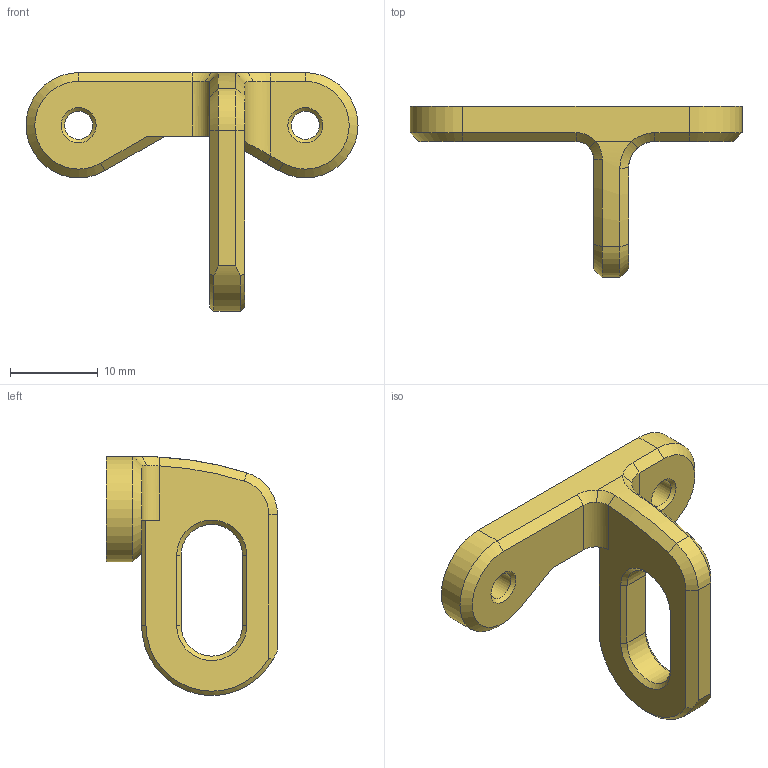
import cadquery as cq
import math


plate_thickness = 4.0
lobe_radius = 6.0
hole_spacing = 25.85
hole_diameter = 3.2
hole_chamfer = 0.4
slope_angle = math.radians(30)

arm_thickness = 4.0
arm_left = 2.0
arm_reach = 15.5
crown_radius = 40.0
nose_radius = 5.0

slot_radius = 3.5
slot_straight = 8.0
foot_radius = 8.0
foot_center_z = -19.24

left_fillet = 2.0
right_fillet = 3.0
root_reach = 4.0
outer_chamfer = 1.0
small_chamfer = 0.5

clearance = 1.0

hole_x = hole_spacing / 2
hole_z = -lobe_radius
arm_right = arm_left + arm_thickness
plate_front = -plate_thickness
arm_front = plate_front - arm_reach
root_front = plate_front - root_reach
slot_y = plate_front - foot_radius
slot_top_z = foot_center_z + slot_straight
underside_z = slot_top_z + slot_radius + small_chamfer
foot_bottom_z = foot_center_z - foot_radius

tangent_x = hole_x - lobe_radius * math.sin(slope_angle)
tangent_z = hole_z - lobe_radius * math.cos(slope_angle)
slope_end_x = tangent_x - (underside_z - tangent_z) / math.tan(slope_angle)


def circle_point(center, radius, angle):
    """Point on a circle at the given angle from its sketch's horizontal axis."""
    return (center[0] + radius * math.cos(angle), center[1] + radius * math.sin(angle))


def nearest_edge(body, point):
    """The edge of the body closest to the given point."""
    return body.edges(cq.NearestToPointSelector(point))


def extrude_plate_outline(depth):
    """Two round lobes on a bar whose lower edge slopes up to a flat underside in the middle."""
    lobe_mid_angle = -slope_angle / 2
    lobe_mid_x, lobe_mid_z = circle_point((hole_x, hole_z), lobe_radius, lobe_mid_angle)
    return (
        cq.Workplane("XZ")
        .moveTo(-hole_x, 0)
        .lineTo(hole_x, 0)
        .threePointArc((lobe_mid_x, lobe_mid_z), (tangent_x, tangent_z))
        .lineTo(slope_end_x, underside_z)
        .lineTo(-slope_end_x, underside_z)
        .lineTo(-tangent_x, tangent_z)
        .threePointArc((-lobe_mid_x, lobe_mid_z), (-hole_x, 0))
        .close()
        .extrude(depth)
    )


def crown_z(y):
    """Height of the arm's curved top, which leaves the plate level."""
    run = plate_front - y
    return math.sqrt(crown_radius**2 - run**2) - crown_radius


def make_arm():
    """Arm with a curved crown, rounded nose, straight front and round foot."""
    nose_y = arm_front + nose_radius
    center_gap = crown_radius - nose_radius
    nose_tilt = math.asin((plate_front - nose_y) / center_gap)
    nose_z = center_gap * math.cos(nose_tilt) - crown_radius
    nose_start_angle = math.pi / 2 + nose_tilt
    nose_mid_angle = (nose_start_angle + math.pi) / 2
    nose_start = circle_point((nose_y, nose_z), nose_radius, nose_start_angle)
    nose_mid = circle_point((nose_y, nose_z), nose_radius, nose_mid_angle)
    crown_mid_y = (plate_front + nose_start[0]) / 2

    front_run = slot_y - arm_front
    foot_start_z = foot_center_z - math.sqrt(foot_radius**2 - front_run**2)

    return (
        cq.Workplane("YZ", origin=(arm_left, 0, 0))
        .moveTo(plate_front, 0)
        .threePointArc((crown_mid_y, crown_z(crown_mid_y)), nose_start)
        .threePointArc(nose_mid, (arm_front, nose_z))
        .lineTo(arm_front, foot_start_z)
        .threePointArc((slot_y, foot_bottom_z), (plate_front, foot_center_z))
        .close()
        .extrude(arm_thickness)
    )


def extrude_tee():
    """Plan shape of the plate and the arm's root, with the two unequal root fillets."""
    side_x = hole_x + lobe_radius
    left_center = (arm_left - left_fillet, plate_front - left_fillet)
    right_center = (arm_right + right_fillet, plate_front - right_fillet)
    return (
        cq.Workplane("XY")
        .moveTo(-side_x, 0)
        .lineTo(side_x, 0)
        .lineTo(side_x, plate_front)
        .lineTo(right_center[0], plate_front)
        .threePointArc(
            circle_point(right_center, right_fillet, math.radians(135)),
            (arm_right, right_center[1]),
        )
        .lineTo(arm_right, root_front)
        .lineTo(arm_left, root_front)
        .lineTo(arm_left, left_center[1])
        .threePointArc(
            circle_point(left_center, left_fillet, math.radians(45)),
            (left_center[0], plate_front),
        )
        .lineTo(-side_x, plate_front)
        .close()
        .extrude(foot_bottom_z)
    )


def make_space_above_crown():
    """Space over the arm's curved crown, wide enough to clear both root fillets."""
    middle_y = (plate_front + arm_front) / 2
    return (
        cq.Workplane("YZ", origin=(-hole_x, 0, 0))
        .moveTo(plate_front, 0)
        .threePointArc((middle_y, crown_z(middle_y)), (arm_front, crown_z(arm_front)))
        .lineTo(arm_front, clearance)
        .lineTo(plate_front, clearance)
        .close()
        .extrude(hole_spacing)
    )


def make_bracket():
    """Plate and arm joined, with their chamfered edges but no openings."""
    body = extrude_plate_outline(-root_front).intersect(extrude_tee())
    body = body.cut(make_space_above_crown()).union(make_arm())

    front_point_z = (slot_top_z + foot_center_z) / 2
    for x in (arm_left, arm_right):
        body = nearest_edge(body, (x, arm_front, front_point_z)).chamfer(outer_chamfer)
    for x in (arm_left, arm_right):
        body = nearest_edge(body, (x, slot_y, foot_bottom_z)).chamfer(small_chamfer)
    return body


def make_screw_hole(x):
    """Through hole in a lobe, chamfered at the plate front."""
    radius = hole_diameter / 2
    profile = (
        cq.Workplane("XY", origin=(x, 0, hole_z))
        .lineTo(radius, 0)
        .lineTo(radius, plate_front + hole_chamfer)
        .lineTo(radius + hole_chamfer, plate_front)
        .lineTo(0, plate_front)
        .close()
    )
    return profile.revolve(360, (0, 0), (0, 1))


def make_slot():
    """Upright slot through the arm, chamfered on both sides."""
    overall_length = slot_straight + 2 * slot_radius
    slot_center_z = (foot_center_z + slot_top_z) / 2
    slot = (
        cq.Workplane("YZ", origin=(arm_left, slot_y, slot_center_z))
        .slot2D(overall_length, 2 * slot_radius, 90)
        .extrude(arm_thickness)
    )
    mouth_length = overall_length + 2 * small_chamfer
    mouth_width = 2 * (slot_radius + small_chamfer)
    for face_x, inward in ((arm_left, 1), (arm_right, -1)):
        mouth = (
            cq.Workplane("YZ", origin=(face_x, slot_y, slot_center_z))
            .slot2D(mouth_length, mouth_width, 90)
            .extrude(inward * small_chamfer, taper=45)
        )
        slot = slot.union(mouth)
    return slot


result = make_bracket()
for x in (-hole_x, hole_x):
    result = result.cut(make_screw_hole(x))
result = result.cut(make_slot())